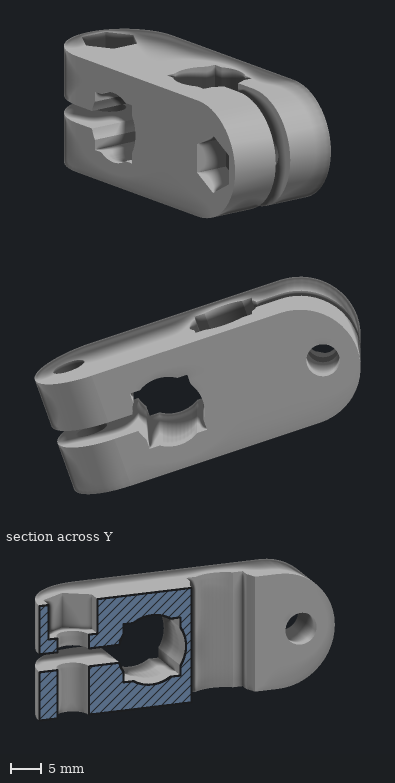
import cadquery as cq
import math

length = 53
width = 20.0
end_radius = width / 2
rod_diameter = 12.0
rod_square = 10.0
slot_gap = 3.0
rod_from_end = width
bolt_from_end = 6.0
bolt_diameter = 5.5
nut_across_flats = 8.6
nut_depth = 6.0

LEFT = -1
RIGHT = 1
through = 2 * width


def rounded_bar(plane, end_sign):
    """Square bar with one end rounded about the normal of the plane."""
    square_end = -end_sign * length / 2
    arc_start = end_sign * (length / 2 - end_radius)
    return (
        cq.Workplane(plane)
        .moveTo(square_end, -width / 2)
        .lineTo(arc_start, -width / 2)
        .threePointArc((end_sign * length / 2, 0), (arc_start, width / 2))
        .lineTo(square_end, width / 2)
        .close()
        .extrude(width / 2, both=True)
    )


def clamp_opening(plane, end_sign):
    """Rod bore with square relief and the slot running out to the clamped end."""
    end_x = end_sign * length / 2
    rod_x = end_x - end_sign * rod_from_end
    base = cq.Workplane(plane)
    bore = base.center(rod_x, 0).circle(rod_diameter / 2).extrude(through / 2, both=True)
    relief = base.center(rod_x, 0).rect(rod_square, rod_square).extrude(through / 2, both=True)
    slot = (
        base.center((rod_x + end_x) / 2, 0)
        .rect(rod_from_end, slot_gap)
        .extrude(through / 2, both=True)
    )
    return bore.union(relief).union(slot)


def bolt_hole(plane, end_sign, nut_face):
    """Bolt hole through the slot, with a hexagonal nut pocket in one face.

    nut_face is the pocketed face's position along the plane normal.
    """
    bolt_x = end_sign * (length / 2 - bolt_from_end)
    hole = cq.Workplane(plane).center(bolt_x, 0).circle(bolt_diameter / 2).extrude(through / 2, both=True)
    corner_radius = nut_across_flats / math.sqrt(3)
    corners = [
        (corner_radius * math.sin(i * math.pi / 3), corner_radius * math.cos(i * math.pi / 3))
        for i in range(6)
    ]
    pocket = (
        cq.Workplane(plane)
        .workplane(offset=nut_face - nut_depth)
        .center(bolt_x, 0)
        .polyline(corners)
        .close()
        .extrude(nut_depth)
    )
    return hole.union(pocket)


body = rounded_bar("XY", LEFT).intersect(rounded_bar("XZ", RIGHT))

left_clamp = clamp_opening("XZ", LEFT)
left_bolt = bolt_hole("XY", LEFT, width / 2)

right_clamp = clamp_opening("XY", RIGHT)
right_bolt = bolt_hole("XZ", RIGHT, width / 2)

result = body.cut(left_clamp).cut(left_bolt).cut(right_clamp).cut(right_bolt)